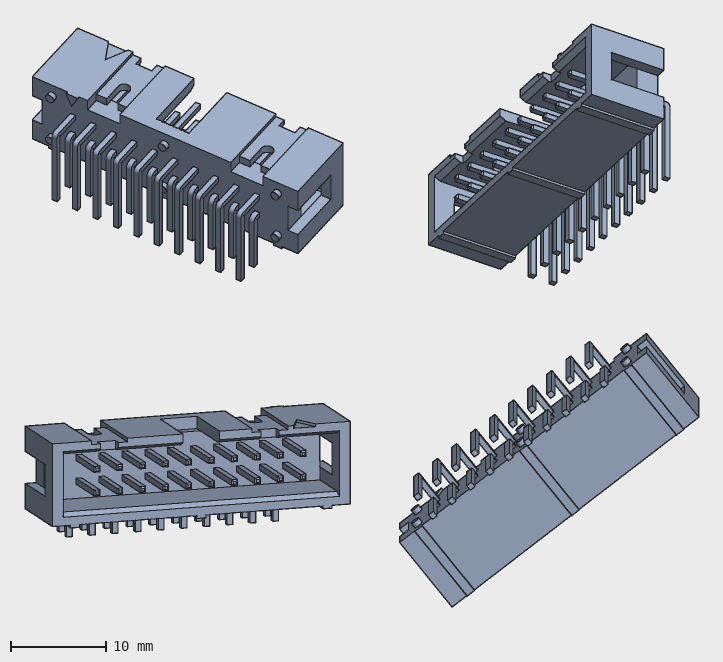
import cadquery as cq


length = 33.02
depth = 8.88
height = 8.9
end_wall = 1.22
cavity_floor_y = 2.58
roof = 1.32
lead_in_depth = 0.73
lead_in_rise = 0.4

pitch = 2.55
columns = 10
pin_size = 0.63
tail_bottom_z = -3.5
tip_gap = 0.23
tip_chamfer = 0.15
tail_reach = 3.63
upper_bend_radius = 0.5
lower_bend_radius = 0.63

window_height = 3.45
window_back_y = 6.45

key_width = 4.05
key_front_y = 1.5

latch_columns = (-3, 4)
latch_width = 4.0
latch_depth = 0.4
latch_step_depth = 1.32
latch_step_y = 1.7
latch_slot_width = 1.4
latch_slot_end_y = 4.7
mouth_notch_width = 1.98
mouth_notch_depth = 1.02

standoff_spacing = 14.0
peg_diameter = 1.0
peg_length = 0.6
peg_row_spacing = 5.98
rib_width = 1.0
rib_height = 0.3

pin_one_x = -(columns - 1) / 2 * pitch
front_mark_width = 1.5
front_mark_height = 1.52
front_mark_relief = 0.25
top_mark_width = 2.48
top_mark_length = 2.58
top_mark_relief = 0.3

mid_z = height / 2
upper_tail_y = pin_size / 2 - tail_reach


def block(x_mid, width, y_range, z_range):
    """Box centred on x_mid, spanning the given Y and Z ranges."""
    return (
        cq.Workplane("XY")
        .box(width, y_range[1] - y_range[0], z_range[1] - z_range[0], centered=(True, False, False))
        .translate((x_mid, y_range[0], z_range[0]))
    )


def along_x(outline, x_mid, width):
    """Closed YZ outline extruded along X, centred on x_mid."""
    return cq.Workplane("YZ").polyline(outline).close().extrude(width / 2, both=True).translate((x_mid, 0, 0))


def cavity():
    """Connector cavity; the long walls flare at the mouth."""
    low = roof
    high = height - roof
    flare_y = depth - lead_in_depth
    outline = [
        (cavity_floor_y, low),
        (flare_y, low),
        (depth, low - lead_in_rise),
        (depth, high + lead_in_rise),
        (flare_y, high),
        (cavity_floor_y, high),
    ]
    return along_x(outline, 0, length - 2 * end_wall)


def end_window(side):
    """Slot through one end wall, running out through the front face."""
    x_mid = side * (length - end_wall) / 2
    z_range = (mid_z - window_height / 2, mid_z + window_height / 2)
    return block(x_mid, end_wall, (0, window_back_y), z_range)


def latch_recess(x_mid):
    """Shallow channel across the roof with a deeper front step, a round-ended slot and a mouth notch."""
    step_z = (height - latch_step_depth, height)
    radius = latch_slot_width / 2
    slot_straight_y = latch_slot_end_y - radius
    channel = block(x_mid, latch_width, (0, depth), (height - latch_depth, height))
    step = block(x_mid, latch_width, (0, latch_step_y), step_z)
    slot = block(x_mid, latch_slot_width, (0, slot_straight_y), step_z)
    slot_end_plane = cq.Workplane("XY", origin=(x_mid, slot_straight_y, step_z[0]))
    slot_end = slot_end_plane.circle(radius).extrude(latch_step_depth)
    mouth_notch = block(x_mid, mouth_notch_width, (depth - mouth_notch_depth, depth), step_z)
    return channel.union(step).union(slot).union(slot_end).union(mouth_notch)


def front_mark():
    """Raised triangle on the front face, pointing down."""
    half = front_mark_width / 2
    outline = [
        (pin_one_x - half, height),
        (pin_one_x + half, height),
        (pin_one_x, height - front_mark_height),
    ]
    return cq.Workplane("XZ").polyline(outline).close().extrude(front_mark_relief)


def top_mark():
    """Sunken triangle in the roof, pointing away from the mouth."""
    half = top_mark_width / 2
    outline = [
        (pin_one_x - half, depth),
        (pin_one_x + half, depth),
        (pin_one_x, depth - top_mark_length),
    ]
    floor = cq.Workplane("XY", origin=(0, 0, height - top_mark_relief))
    return floor.polyline(outline).close().extrude(top_mark_relief)


def pin(x_mid, z_mid, tail_y, bend_radius):
    """Square bent pin with a rounded outer corner and a chamfered tip."""
    half = pin_size / 2
    tip_y = depth - tip_gap
    outline = [
        (tip_y, z_mid - half),
        (tip_y, z_mid + half),
        (tail_y - half, z_mid + half),
        (tail_y - half, tail_bottom_z),
        (tail_y + half, tail_bottom_z),
        (tail_y + half, z_mid - half),
    ]
    bent = along_x(outline, x_mid, pin_size)
    outer_corner = cq.selectors.NearestToPointSelector((x_mid, tail_y - half, z_mid + half))
    return bent.edges(outer_corner).fillet(bend_radius).faces(">Y").chamfer(tip_chamfer)


housing = block(0, length, (0, depth), (0, height)).cut(cavity())
for side in (-1, 1):
    housing = housing.cut(end_window(side))
housing = housing.cut(block(0, key_width, (key_front_y, depth), (height - roof, height)))
for column in latch_columns:
    housing = housing.cut(latch_recess(column * pitch))
housing = housing.cut(top_mark()).union(front_mark())

for x in (-standoff_spacing, 0, standoff_spacing):
    housing = housing.union(block(x, rib_width, (0, depth), (-rib_height, 0)))
    for z in (mid_z - peg_row_spacing / 2, mid_z + peg_row_spacing / 2):
        peg = cq.Workplane("XZ", origin=(x, 0, z)).circle(peg_diameter / 2).extrude(peg_length)
        housing = housing.union(peg)

result = housing
for column in range(columns):
    x = pin_one_x + column * pitch
    result = result.union(pin(x, mid_z + pitch / 2, upper_tail_y, upper_bend_radius))
    result = result.union(pin(x, mid_z - pitch / 2, upper_tail_y + pitch, lower_bend_radius))